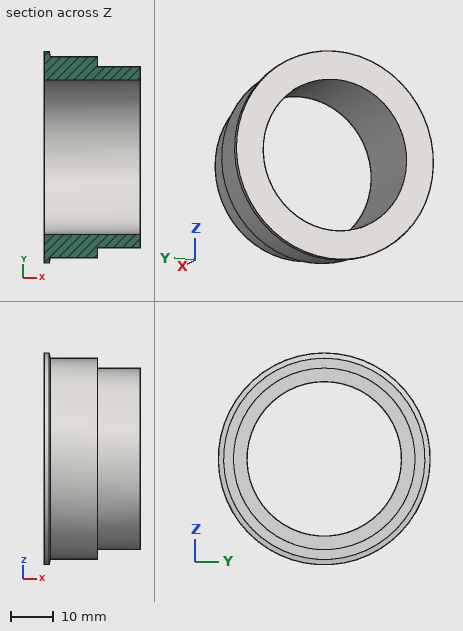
import cadquery as cq

total_length = 22.5
spigot_length = 10.0
bore_diameter = 36.0
flange_diameter = 49.5
body_diameter = 47.0
spigot_diameter = 42.4

flange_rim_thickness = 1.2
flange_root_thickness = 1.45

spigot_start = total_length - spigot_length


def make_sleeve():
    """Revolve the half section (X along the axis, Z as radius) about the X axis."""
    bore_radius = bore_diameter / 2
    flange_radius = flange_diameter / 2
    body_radius = body_diameter / 2
    spigot_radius = spigot_diameter / 2

    half_section = (
        cq.Workplane("XZ")
        .moveTo(0, bore_radius)
        .lineTo(0, flange_radius)
        .lineTo(flange_rim_thickness, flange_radius)
        .lineTo(flange_root_thickness, body_radius)
        .lineTo(spigot_start, body_radius)
        .lineTo(spigot_start, spigot_radius)
        .lineTo(total_length, spigot_radius)
        .lineTo(total_length, bore_radius)
        .close()
    )
    return half_section.revolve(360, (0, 0, 0), (1, 0, 0))


result = make_sleeve()